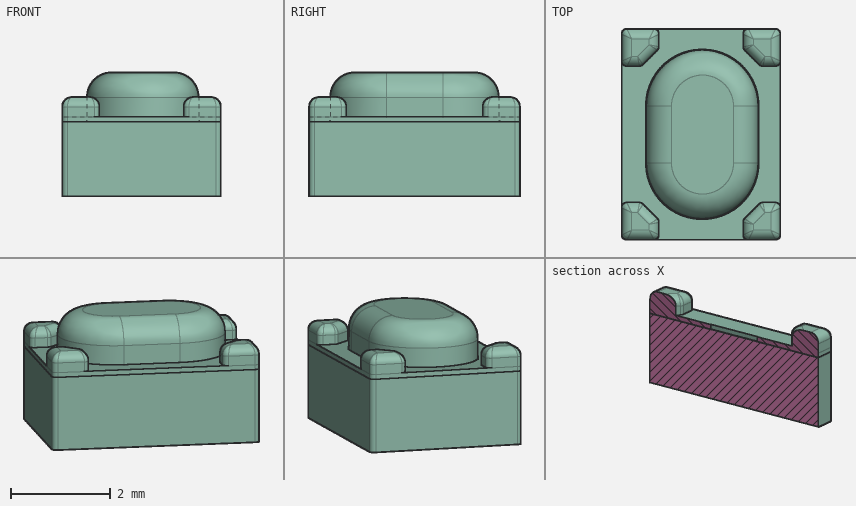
import cadquery as cq

length = 4.25
width = 3.2
total_height = 2.5

base_height = 1.5
cover_thickness = 0.1
corner_radius = 0.1

post_size = 0.752
post_chamfer = 0.353
post_height = 0.4
post_top_radius = 0.2

button_length = 3.4
button_width = 2.252
button_top_radius = 0.5
button_shift = 0.025
button_clearance = 0.013

cover_top = base_height + cover_thickness


def rounded_slab(bottom, thickness):
    """Slab with the common footprint and rounded vertical corners."""
    slab = cq.Workplane("XY").workplane(offset=bottom).rect(width, length).extrude(thickness)
    return slab.edges("|Z").fillet(corner_radius)


def obround_column(bottom, top, margin=0):
    """Upright column with the plan outline of the button, enlarged all round by the margin."""
    plane = cq.Workplane("XY").workplane(offset=bottom).center(button_shift, 0)
    outline = plane.slot2D(button_length + 2 * margin, button_width + 2 * margin, angle=90)
    return outline.extrude(top - bottom)


def make_corner_post():
    """Post at the -X, -Y corner, with its inward corner cut off and all free edges rounded."""
    left = -width / 2
    front = -length / 2
    right = left + post_size
    back = front + post_size
    outline = [
        (left, front),
        (right, front),
        (right, back - post_chamfer),
        (right - post_chamfer, back),
        (left, back),
    ]
    post = cq.Workplane("XY").workplane(offset=cover_top).polyline(outline).close().extrude(post_height)
    post = post.faces(">Z").edges().fillet(post_top_radius)
    return post.edges("|Z").fillet(corner_radius)


def make_base():
    return rounded_slab(0, base_height)


def make_cover():
    """Plate with a post on each corner and an opening around the button."""
    cover = rounded_slab(base_height, cover_thickness)
    cover = cover.cut(obround_column(base_height, cover_top, button_clearance))
    front_left = make_corner_post()
    front_right = front_left.mirror("YZ")
    for post in (front_left, front_right):
        cover = cover.union(post, clean=False)
        cover = cover.union(post.mirror("XZ"), clean=False)
    return cover


def make_button():
    """Button resting on the base and rising through the cover, with a rounded top rim."""
    button = obround_column(base_height, total_height)
    return button.faces(">Z").edges().fillet(button_top_radius)


base = make_base()
cover = make_cover()
button = make_button()

result = cq.Compound.makeCompound([base.val(), cover.val(), button.val()])